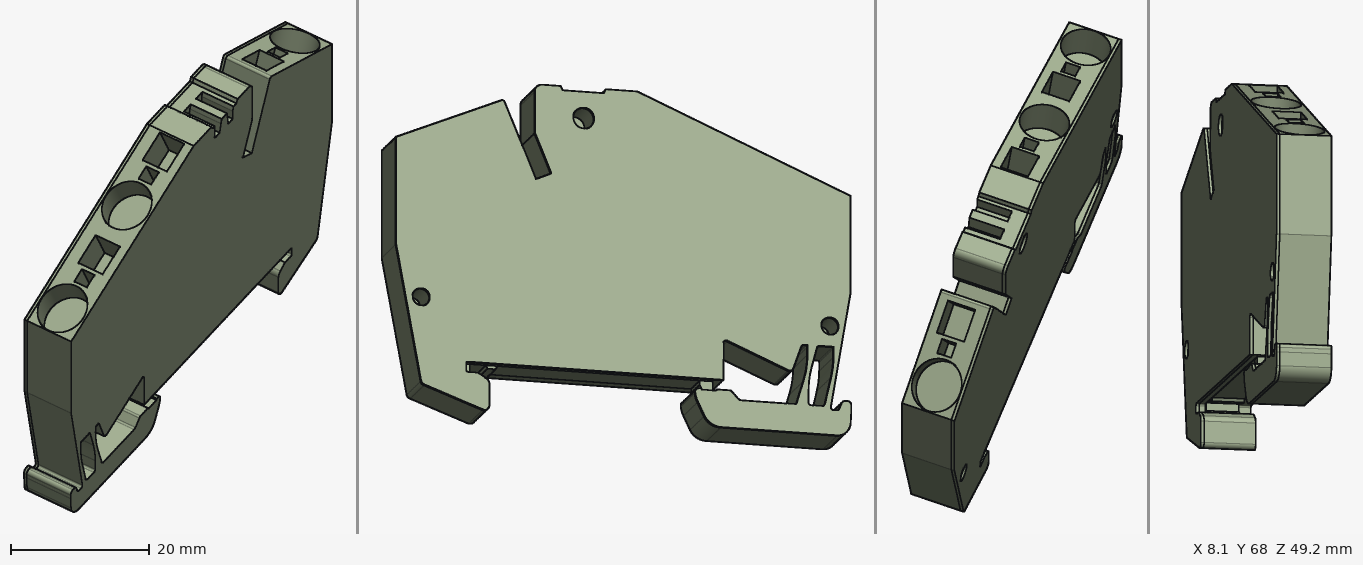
import cadquery as cq
import math

WIDTH = 8.1
COVER_THICKNESS = 0.5
HEIGHT = 49.2
HALF_LENGTH = 34.0
SLOPE_ANGLE = math.radians(22.7)

BACK_SHOULDER_Z = 39.9
FRONT_WALL_Y = -33.85
FRONT_SHOULDER_Z = 35.9
FRONT_SLOPE_TOP_Y = FRONT_WALL_Y + (HEIGHT - FRONT_SHOULDER_Z) / math.tan(SLOPE_ANGLE)
RAIL_SEAT_Z = 7.1
HOOK_SLOT_END_Y = 23.5
HOOK_LEDGE_Z = 5.5
FOOT_LEDGE_Z = 5.6
CONTACT_SEAT_Z = 5.4
FOOT_FLOOR_Z = 4.2
SPRING_ROOF_Z = 13.2

RECESS_FLOOR_Z = 48.6
RECESS_BACK_Y = 9.1
RECESS_FRONT_Y = 3.0
RECESS_WALL_RUN = 0.35
GROOVE_CLOSED_X = 2.7
GROOVE_DEPTH = 2.4
GROOVE_LEAD_IN_RUN = 0.2
GROOVE_LEAD_IN_DEPTH = 0.75
GROOVE_TAPER = 0.35
GROOVES = ((8.35, 6.65, 0, GROOVE_TAPER), (5.3, 3.5, GROOVE_TAPER, 0))

WELL_RADIUS = 3.6
WELL_X = 4.15
WELL_DEPTH = 4.6
OPENING_X = 4.55
TEST_HOLE_SIZE = 2.2
TEST_HOLE_DEPTH = 6.8
TEST_HOLE_OFFSET = 5.5
POCKET_LENGTH = 4.9
POCKET_WIDTH = 4.2
POCKET_DEPTH = 6.05
POCKET_OFFSET = 9.65
FRONT_WELL_YS = (-13.45, -30.2)
BACK_WELL_Y = 30.25

CROSS_HOLES = ((6.0, 44.65, 1.55), (30.25, 16.25, 1.3), (-30.8, 16.25, 1.3))
CROSS_HOLE_DEPTH = 5.45

CONTACT_START_X = 1.35
CONTACT_END_X = 6.1
CONTACT_STRIP_HEIGHT = 1.0

OUTLINE = [
    (HALF_LENGTH, BACK_SHOULDER_Z, 0),
    (17.95, BACK_SHOULDER_Z + (HALF_LENGTH - 17.95) * math.tan(SLOPE_ANGLE), 0.4),
    (13.1, 35.05, 0),
    (10.8, 36.1, 0),
    (13.25, 41.9, 0),
    (13.25, HEIGHT, 1.0),
    (RECESS_BACK_Y + RECESS_WALL_RUN, HEIGHT, 0),
    (RECESS_BACK_Y, RECESS_FLOOR_Z, 0),
    (RECESS_FRONT_Y, RECESS_FLOOR_Z, 0),
    (RECESS_FRONT_Y - RECESS_WALL_RUN, HEIGHT, 0),
    (FRONT_SLOPE_TOP_Y, HEIGHT, 0),
    (FRONT_WALL_Y, FRONT_SHOULDER_Z, 0),
    (FRONT_WALL_Y, 21.3, 0),
    (-30.85, 3.75, 0.35),
    (-32.1, 3.75, 0.5),
    (-32.7, 5.2, 0.55),
    (-34.0, 5.2, 0.6),
    (-34.0, 3.95, 0),
    (-33.8, 0, 2.05),
    (-12.8, 0, 2.7),
    (-10.75, 4.2, 4.1),
    (-10.6, FOOT_LEDGE_Z, 0.55),
    (-11.55, FOOT_LEDGE_Z, 0),
    (-11.7, CONTACT_SEAT_Z, 0),
    (-13.7, CONTACT_SEAT_Z, 0),
    (-13.85, FOOT_LEDGE_Z, 0),
    (-16.0, FOOT_LEDGE_Z, 0.5),
    (-17.25, FOOT_FLOOR_Z, 0.5),
    (-25.75, FOOT_FLOOR_Z, 0.4),
    (-27.45, 9.8, 13.6),
    (-27.45, SPRING_ROOF_Z, 0.2),
    (-26.65, SPRING_ROOF_Z, 0.4),
    (-25.2, 9.2, 0.4),
    (-24.6, 9.2, 0.4),
    (-14.9, 13.2, 0.4),
    (-14.9, RAIL_SEAT_Z, 0),
    (HOOK_SLOT_END_Y, RAIL_SEAT_Z, 0.3),
    (HOOK_SLOT_END_Y, HOOK_LEDGE_Z, 0.3),
    (21.75, HOOK_LEDGE_Z, 0),
    (20.05, 4.5, 1.0),
    (20.05, -0.3, 0.75),
    (30.2, 3.3, 0.75),
    (HALF_LENGTH, 23.9, 0),
]

SPRING_WINDOW = [
    (-28.95, SPRING_ROOF_Z, 0.4),
    (-31.3, SPRING_ROOF_Z, 0.15),
    (-31.3, 10.2, 13.6),
    (-29.95, FOOT_FLOOR_Z, 0.55),
    (-27.6, FOOT_FLOOR_Z, 0.35),
    (-27.6, 8.15, 13.6),
]

CONTACT_OUTLINE = [
    (HOOK_SLOT_END_Y, RAIL_SEAT_Z + CONTACT_STRIP_HEIGHT, 0),
    (-13.65, RAIL_SEAT_Z + CONTACT_STRIP_HEIGHT, 0),
    (-13.65, CONTACT_SEAT_Z, 0),
    (-12.15, CONTACT_SEAT_Z, 0),
    (-11.7, 6.45, 0),
    (-11.7, RAIL_SEAT_Z, 0),
    (18.5, RAIL_SEAT_Z, 0),
    (18.75, 6.6, 0),
    (20.0, 6.6, 0),
    (20.25, RAIL_SEAT_Z, 0),
    (22.6, RAIL_SEAT_Z, 0),
    (22.6, 5.9, 0),
    (21.9, HOOK_LEDGE_Z, 0),
    (HOOK_SLOT_END_Y, HOOK_LEDGE_Z, 0),
]


def rounded_prism(corners, start_x, end_x):
    """Extrude a closed YZ outline of (y, z, corner radius) along X."""
    points = [cq.Vector(start_x, y, z) for y, z, _ in corners]
    stretches = []
    for i, corner in enumerate(points):
        radius = corners[i][2]
        if radius == 0:
            stretches.append((corner, None, corner))
            continue
        to_last = (points[i - 1] - corner).normalized()
        to_next = (points[(i + 1) % len(points)] - corner).normalized()
        half_angle = to_last.getAngle(to_next) / 2
        setback = radius / math.tan(half_angle)
        bisector = (to_last + to_next).normalized()
        middle = corner + bisector * (radius / math.sin(half_angle) - radius)
        stretches.append((corner + to_last * setback, middle, corner + to_next * setback))
    edges = []
    for i, (arc_start, middle, arc_end) in enumerate(stretches):
        edges.append(cq.Edge.makeLine(stretches[i - 1][2], arc_start))
        if middle is not None:
            edges.append(cq.Edge.makeThreePointArc(arc_start, middle, arc_end))
    outline = cq.Wire.assembleEdges(edges)
    return cq.Workplane(cq.Solid.extrudeLinear(outline, [], cq.Vector(end_x - start_x, 0, 0)))


def side_profile(start_x, end_x):
    """Slice of the terminal outline, with its spring window and the blind cross holes."""
    body = rounded_prism(OUTLINE, start_x, end_x)
    body = body.cut(rounded_prism(SPRING_WINDOW, start_x, end_x))
    for y, z, radius in CROSS_HOLES:
        hole = cq.Workplane("YZ", origin=(0, y, z)).circle(radius).extrude(CROSS_HOLE_DEPTH)
        body = body.cut(hole)
    return body


def slope_plane(x, y, z, facing):
    """Plane on a slope: local x runs downhill; facing is -1 for -Y and +1 for +Y."""
    rise = math.sin(SLOPE_ANGLE)
    run = math.cos(SLOPE_ANGLE)
    return cq.Plane(origin=(x, y, z), xDir=(0, facing * run, -rise), normal=(0, facing * rise, run))


def connection_point(well_y, facing):
    """Cutters for one well with its test hole and pocket uphill of it."""
    if facing < 0:
        well_z = FRONT_SHOULDER_Z + (well_y - FRONT_WALL_Y) * math.tan(SLOPE_ANGLE)
    else:
        well_z = BACK_SHOULDER_Z + (HALF_LENGTH - well_y) * math.tan(SLOPE_ANGLE)

    well = cq.Workplane(slope_plane(WELL_X, well_y, well_z, facing))
    well = well.ellipse(WELL_RADIUS / math.cos(SLOPE_ANGLE), WELL_RADIUS).extrude(-WELL_DEPTH)

    slope = slope_plane(OPENING_X, well_y, well_z, facing)
    test_hole = cq.Workplane(slope).center(-TEST_HOLE_OFFSET, 0).rect(TEST_HOLE_SIZE, TEST_HOLE_SIZE)
    test_hole = test_hole.extrude(-TEST_HOLE_DEPTH)
    pocket = cq.Workplane(slope).center(-POCKET_OFFSET, 0).rect(POCKET_LENGTH, POCKET_WIDTH)
    pocket = pocket.extrude(-POCKET_DEPTH)
    return [well, test_hole, pocket]


def marker_groove(back_y, front_y, back_taper, front_taper):
    """Groove in the recess floor, open to +X, with a slanted lead-in on its back wall."""
    lead_in_y = back_y - GROOVE_LEAD_IN_RUN
    bottom_z = RECESS_FLOOR_Z - GROOVE_DEPTH
    corners = [
        (back_y, RECESS_FLOOR_Z, 0),
        (front_y, RECESS_FLOOR_Z, 0),
        (front_y + front_taper, bottom_z, 0),
        (lead_in_y - back_taper, bottom_z, 0),
        (lead_in_y, RECESS_FLOOR_Z - GROOVE_LEAD_IN_DEPTH, 0),
    ]
    return rounded_prism(corners, GROOVE_CLOSED_X, WIDTH)


def make_cover():
    return side_profile(0, COVER_THICKNESS)


def make_rail_contact():
    return rounded_prism(CONTACT_OUTLINE, CONTACT_START_X, CONTACT_END_X)


def make_housing(rail_contact):
    housing = side_profile(COVER_THICKNESS, WIDTH)
    cutters = connection_point(BACK_WELL_Y, 1)
    for well_y in FRONT_WELL_YS:
        cutters += connection_point(well_y, -1)
    for groove in GROOVES:
        cutters.append(marker_groove(*groove))
    for cutter in cutters:
        housing = housing.cut(cutter)
    return housing.cut(rail_contact)


cover = make_cover()
rail_contact = make_rail_contact()
housing = make_housing(rail_contact)

bodies = (cover, housing, rail_contact)
result = cq.Compound.makeCompound([body.solids().val() for body in bodies])